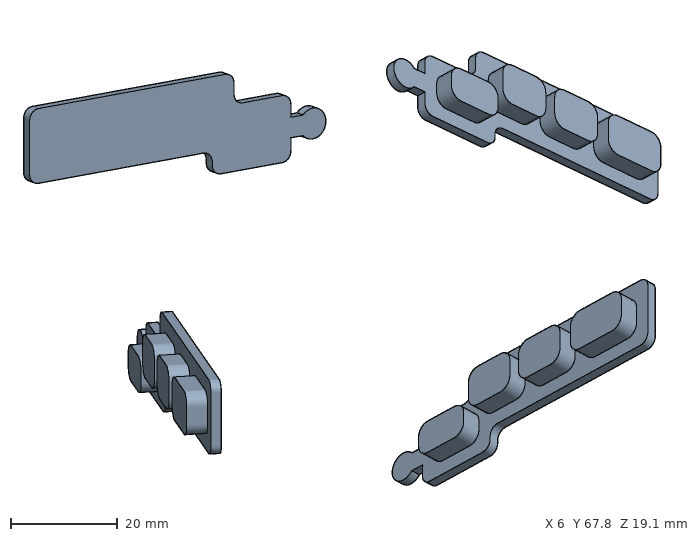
import cadquery as cq


plate_thickness = 2.0
button_height = 4.0

margin = 3.0
button_corner_radius = 2.5
row_button_height = 8.5
row_button_lengths = [13.5, 11.0, 11.0]
row_button_gaps = [2.75, 2.3]
side_button_length = 12.0
side_button_height = 7.0

plate_corner_radius = 2.0
upper_length = 46.77
upper_height = row_button_height + 2 * margin
lower_length = side_button_length + 2 * margin
lower_height = side_button_height + 2 * margin
lower_overhang = 13.0
plate_height = 19.13

tab_radius = 3.0
neck_width = 4.0
neck_length = 5.0

upper_bottom = plate_height - upper_height
plate_end = upper_length + lower_overhang
lower_start = plate_end - lower_length
lower_mid_z = lower_height / 2
row_mid_z = upper_bottom + upper_height / 2


def slab(center_y, center_z, length, height, front_x, depth):
    """Rectangular block in the YZ plane, extending from front_x toward +X."""
    return cq.Workplane("XY").box(depth, length, height).translate(
        (front_x + depth / 2, center_y, center_z)
    )


def make_plate():
    outline = [
        (0, upper_bottom),
        (lower_start, upper_bottom),
        (lower_start, 0),
        (plate_end, 0),
        (plate_end, lower_height),
        (upper_length, lower_height),
        (upper_length, plate_height),
        (0, plate_height),
    ]
    plate = cq.Workplane("YZ").polyline(outline).close().extrude(-plate_thickness)
    return plate.edges("|X").fillet(plate_corner_radius)


def make_tab():
    center_y = plate_end + neck_length
    disc = (
        cq.Workplane("YZ")
        .center(center_y, lower_mid_z)
        .circle(tab_radius)
        .extrude(-plate_thickness)
    )
    neck = slab(
        plate_end + neck_length / 2,
        lower_mid_z,
        neck_length,
        neck_width,
        -plate_thickness,
        plate_thickness,
    )
    return disc.union(neck)


def make_button(center_y, center_z, length, height):
    front_x = -plate_thickness - button_height
    button = slab(center_y, center_z, length, height, front_x, button_height)
    return button.edges("|X").fillet(button_corner_radius)


def make_buttons():
    buttons = make_button(
        plate_end - margin - side_button_length / 2,
        lower_mid_z,
        side_button_length,
        side_button_height,
    )
    start_y = 0
    gaps_before = [margin] + row_button_gaps
    for gap, length in zip(gaps_before, row_button_lengths):
        start_y += gap
        center_y = start_y + length / 2
        buttons = buttons.union(make_button(center_y, row_mid_z, length, row_button_height))
        start_y += length
    return buttons


result = make_plate().union(make_tab()).union(make_buttons())